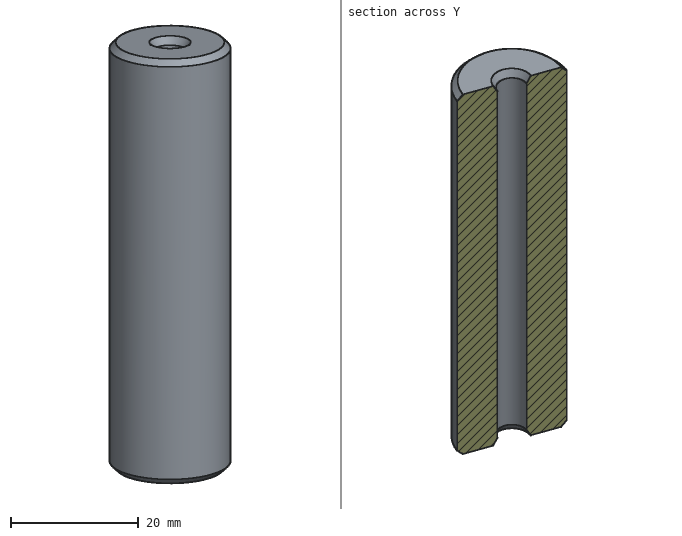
import cadquery as cq
import math

rod_diameter = 19.05
rod_length = 70.0
rim_chamfer = 1.0
bore_diameter = 5.0
countersink_diameter = 6.5
countersink_angle = 60.0

rod_radius = rod_diameter / 2
bore_radius = bore_diameter / 2
countersink_radius = countersink_diameter / 2
countersink_depth = (countersink_radius - bore_radius) / math.tan(math.radians(countersink_angle / 2))


def make_rod():
    """Upright cylinder with both outer rims chamfered."""
    rod = cq.Workplane("XY").circle(rod_radius).extrude(rod_length)
    return rod.faces("<Z or >Z").edges().chamfer(rim_chamfer)


def make_bore():
    """Axial through bore, countersunk alike at both ends, as a solid to cut away."""
    half_section = (
        cq.Workplane("XZ")
        .moveTo(0, 0)
        .lineTo(countersink_radius, 0)
        .lineTo(bore_radius, countersink_depth)
        .lineTo(bore_radius, rod_length - countersink_depth)
        .lineTo(countersink_radius, rod_length)
        .lineTo(0, rod_length)
        .close()
    )
    axis_start = (0, 0)
    axis_end = (0, 1)
    return half_section.revolve(360, axis_start, axis_end)


result = make_rod().cut(make_bore())